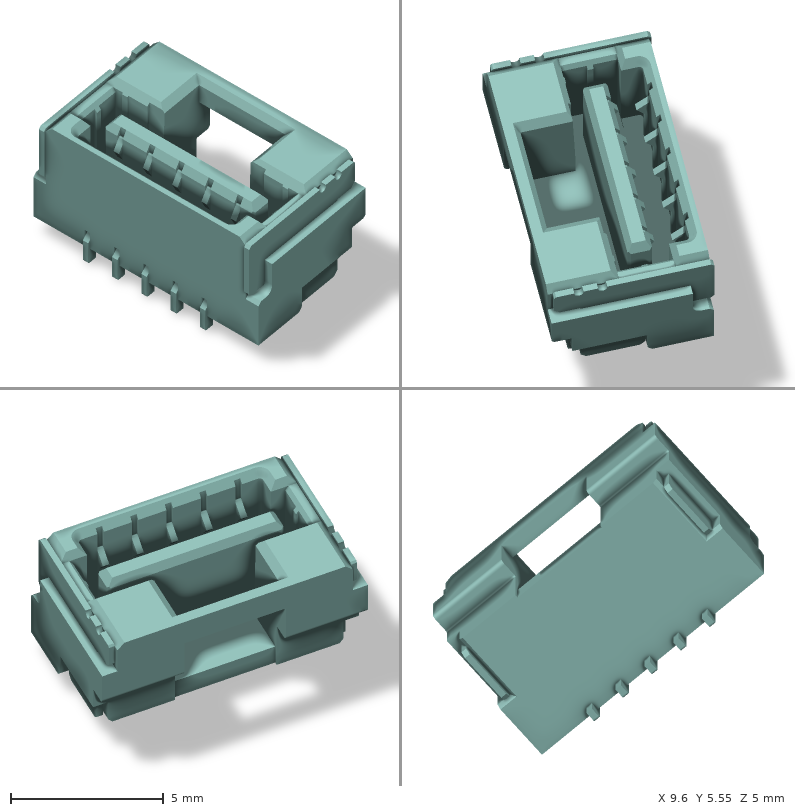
import cadquery as cq


WIDTH = 9.6
DEPTH = 5.45
HEIGHT = 4.4
LOWER_DEPTH = 4.75
OVERHANG_Z = 1.86
OVERHANG_RADIUS = 0.16
OVERHANG_CORNER_RADIUS = 0.07
SHROUD_HALF = 4.25
SHROUD_CHAMFER = 0.26
SHROUD_DROP = 0.25
RIM_DROP = 0.28
RIM_Z = HEIGHT - RIM_DROP

LEDGE_Z = 3.15
LEDGE_FRONT_Y = 0.7
LEDGE_STEP_Z = 1.89
LEDGE_STEP_RADIUS = 0.32
LEDGE_CHAMFER = 0.13

FLOOR_Z = 0.86
SIDE_FLOOR_Z = 0.77
SIDE_FLOOR_HALF = 2.99
FRONT_PAD_Y = 1.15
FRONT_PAD_RUN = 0.19
REAR_PAD_Y = 3.04
REAR_PAD_RUN = 0.23
FRONT_WALL = 0.44
FRONT_CAVITY_HALF = 3.32
FRONT_CAVITY_RADIUS = 0.13
FRONT_CAVITY_RUN = 0.25
SIDE_CAVITY_HALF = 3.84
SIDE_CAVITY_RUN = 0.12
SIDE_CAVITY_DROP = 0.15

WINDOW_HALF = 1.83
WINDOW_RUN = 0.27
WINDOW_DROP = 0.25
BAR_FRONT_Y = 4.9
BAR_RUN = 0.19
BAR_BOTTOM_Z = 3.38
WINDOW_FLOOR_DEPTH = 4.64
JAMB_RELIEF_HALF = 2.49
JAMB_RELIEF = 0.11
JAMB_RELIEF_BOTTOM_Z = 1.44

SIDE_RIB_Y = (1.98, 2.18)
SIDE_RIB_HEIGHT = 0.1
PAD_RIB_X = (3.3, 3.53)
PAD_RIB_HEIGHT = 0.04

TONGUE_HALF = 3.2
TONGUE_Y = (1.66, 2.5)
TONGUE_Z = 4.0
TONGUE_RUN_X = 0.24
TONGUE_RUN_Y = 0.18
TONGUE_DROP = 0.28
TONGUE_CORNER = 0.1

CONTACT_COUNT = 5
PITCH = 1.25
CONTACT_WIDTH = 0.23
TAIL_BOTTOM_Z = -0.6
TAIL_FRONT_Y = -0.1
TAIL_REAR_Y = 0.3
TAIL_RADIUS = 0.08
TAIL_SHOULDER_Z = 0.32
TAIL_TOP_Y = 0.13
TAIL_TOP_Z = 0.53
TAIL_SLOT_Z = 0.71
TAIL_SLOT_DEPTH = TAIL_SLOT_Z - TAIL_TOP_Z
GROOVE_Y = 0.31
FRONT_TIP_Z = 3.44
FRONT_NOSE_Y = 0.86
FRONT_NOSE_Z = 2.98
FRONT_ARM_REAR_Y = 0.58
REAR_TIP_Y = TONGUE_Y[0] + TONGUE_RUN_Y
REAR_TIP_Z = 3.79
REAR_NOSE_Y = 1.47
REAR_NOSE_Z = 3.19
NOSE_UNDERCUT = 0.38
TIP_RADIUS = 0.06

TAB_X = (4.27, 4.48)
TAB_TOP_Z = 4.27
TAB_FRONT_Y = -0.1
TAB_REAR_Y = 5.29
TAB_FRONT_BOTTOM_Z = 2.06
TAB_REAR_BOTTOM_Z = 3.21
TAB_CORNER = 0.11
TAB_REAR_TOP_CORNER = 0.07
TAB_REAR_BOTTOM_CORNER = 0.19
STEM_Y = (2.22, 4.4)
STEM_BOTTOM_Z = -0.13
STEM_CORNER = 0.18
NOTCH_Y = (4.45, 3.66)
NOTCH_RADIUS = 0.15
NOTCH_Z = 4.22

RECESS_Z = 1.0
RECESS_FLARE = 0.14
RECESS_FLARE_Z = 0.17

OVER = 0.1


def box(x_range, y_range, z_range):
    """Box spanning the three given ranges."""
    (x0, x1), (y0, y1), (z0, z1) = x_range, y_range, z_range
    return cq.Workplane("XY").box(x1 - x0, y1 - y0, z1 - z0, centered=False).translate((x0, y0, z0))


def across(profile, x_range):
    """Extrude a closed YZ profile over a range of x."""
    x0, x1 = x_range
    return profile.extrude(x1 - x0).translate((x0, 0, 0))


def yz(points):
    """Closed YZ polygon, ready to extrude."""
    return cq.Workplane("YZ").polyline(points).close()


def along(points, y_range):
    """Extrude an XZ polygon over a range of y."""
    y0, y1 = y_range
    return cq.Workplane("XZ").polyline(points).close().extrude(y0 - y1).translate((0, y0, 0))


def both_sides(shape):
    """The shape together with its mirror image in x = 0."""
    return shape.union(shape.mirror("YZ"))


def symmetric(right_points):
    """Close an XZ outline by mirroring its right half in x = 0."""
    return right_points + [(-x, z) for x, z in reversed(right_points)]


def make_housing():
    """Solid outer body: the shroud and both side ledges."""
    side_profile = yz([(0, 0), (LOWER_DEPTH, 0), (LOWER_DEPTH, OVERHANG_Z), (DEPTH, OVERHANG_Z),
                       (DEPTH, HEIGHT), (0, HEIGHT)])
    block = across(side_profile, (-WIDTH / 2, WIDTH / 2))
    outer_corner = cq.NearestToPointSelector((0, DEPTH, OVERHANG_Z))
    block = block.edges(outer_corner).fillet(OVERHANG_RADIUS)
    inner_corner = cq.NearestToPointSelector((0, LOWER_DEPTH, OVERHANG_Z))
    block = block.edges(inner_corner).fillet(OVERHANG_CORNER_RADIUS)

    shroud_outline = symmetric([
        (SHROUD_HALF, 0),
        (SHROUD_HALF, HEIGHT - SHROUD_DROP),
        (SHROUD_HALF - SHROUD_CHAMFER, HEIGHT),
    ])
    shroud = along(shroud_outline, (0, DEPTH))

    step_end_y = LEDGE_FRONT_Y - LEDGE_STEP_RADIUS
    ledge_profile = (
        cq.Workplane("YZ")
        .moveTo(0, 0)
        .lineTo(DEPTH, 0)
        .lineTo(DEPTH, LEDGE_Z)
        .lineTo(LEDGE_FRONT_Y, LEDGE_Z)
        .lineTo(LEDGE_FRONT_Y, LEDGE_STEP_Z + LEDGE_STEP_RADIUS)
        .radiusArc((step_end_y, LEDGE_STEP_Z), LEDGE_STEP_RADIUS)
        .lineTo(LEDGE_CHAMFER, LEDGE_STEP_Z)
        .lineTo(0, LEDGE_STEP_Z - LEDGE_CHAMFER)
        .close()
    )
    ledges = across(ledge_profile, (-WIDTH / 2, WIDTH / 2))
    return block.intersect(shroud.union(ledges))


def rim_notch():
    """Gap in the top rim between the front and rear pads."""
    points = [(FRONT_PAD_Y, RIM_Z), (REAR_PAD_Y, RIM_Z),
              (REAR_PAD_Y + REAR_PAD_RUN, HEIGHT), (FRONT_PAD_Y - FRONT_PAD_RUN, HEIGHT)]
    return across(yz(points), (-WIDTH / 2, WIDTH / 2))


def front_cavity():
    """Pocket behind the front wall, flared at the rim."""
    rear_y = TONGUE_Y[0]
    centre_y = (FRONT_WALL + rear_y) / 2
    width = 2 * FRONT_CAVITY_HALF
    length = rear_y - FRONT_WALL

    def rounded(grow, z):
        return (
            cq.Sketch()
            .rect(width + 2 * grow, length + 2 * grow)
            .vertices()
            .fillet(FRONT_CAVITY_RADIUS + grow)
            .moved(cq.Location(cq.Vector(0, centre_y, z)))
        )

    flare = cq.Workplane("XY").placeSketch(rounded(0, RIM_Z), rounded(FRONT_CAVITY_RUN, HEIGHT)).loft()
    straight = cq.Workplane("XY").placeSketch(rounded(0, FLOOR_Z)).extrude(RIM_Z - FLOOR_Z)
    return straight.union(flare)


def side_cavity():
    """Full-width pocket between the pads, less the guide ribs and the raised middle floor."""
    outline = symmetric([
        (SIDE_CAVITY_HALF, SIDE_FLOOR_Z),
        (SIDE_CAVITY_HALF, RIM_Z - SIDE_CAVITY_DROP),
        (SIDE_CAVITY_HALF + SIDE_CAVITY_RUN, RIM_Z),
    ])
    pocket = along(outline, (FRONT_PAD_Y, REAR_PAD_Y))
    side_rib_face = SIDE_CAVITY_HALF - SIDE_RIB_HEIGHT
    side_rib_drop = SIDE_CAVITY_DROP * (SIDE_RIB_HEIGHT + SIDE_CAVITY_RUN) / SIDE_CAVITY_RUN
    side_rib = along(
        [(side_rib_face, 0), (side_rib_face, RIM_Z - side_rib_drop),
         (SIDE_CAVITY_HALF + SIDE_CAVITY_RUN, RIM_Z), (SIDE_CAVITY_HALF + SIDE_CAVITY_RUN, 0)],
        SIDE_RIB_Y,
    )
    pad_rib_face = REAR_PAD_Y - PAD_RIB_HEIGHT
    pad_rib_drop = PAD_RIB_HEIGHT * RIM_DROP / REAR_PAD_RUN
    pad_rib = across(
        yz([(REAR_PAD_Y, 0), (pad_rib_face, 0), (pad_rib_face, RIM_Z - pad_rib_drop), (REAR_PAD_Y, RIM_Z)]),
        PAD_RIB_X,
    )
    raised_floor = box((-SIDE_FLOOR_HALF, SIDE_FLOOR_HALF), (FRONT_PAD_Y, TONGUE_Y[0]), (0, FLOOR_Z))
    return pocket.cut(both_sides(side_rib.union(pad_rib))).cut(raised_floor)


def rear_window():
    """Opening between the rear pads, running out to the rear under the bar."""
    flare_x = symmetric([
        (WINDOW_HALF, SIDE_FLOOR_Z),
        (WINDOW_HALF, HEIGHT - WINDOW_DROP),
        (WINDOW_HALF + WINDOW_RUN, HEIGHT),
    ])
    flare_y = [(REAR_PAD_Y, SIDE_FLOOR_Z), (BAR_FRONT_Y, SIDE_FLOOR_Z), (BAR_FRONT_Y, HEIGHT - WINDOW_DROP),
               (BAR_FRONT_Y + BAR_RUN, HEIGHT), (REAR_PAD_Y, HEIGHT)]
    window = along(flare_x, (REAR_PAD_Y, DEPTH)).intersect(across(yz(flare_y), (-WIDTH / 2, WIDTH / 2)))
    span = (-WINDOW_HALF, WINDOW_HALF)
    under_bar = box(span, (WINDOW_FLOOR_DEPTH, DEPTH + OVER), (-OVER, BAR_BOTTOM_Z))
    relief_y = REAR_PAD_Y + JAMB_RELIEF
    relief = across(
        yz([(REAR_PAD_Y, JAMB_RELIEF_BOTTOM_Z), (relief_y, HEIGHT), (REAR_PAD_Y, HEIGHT)]),
        (WINDOW_HALF, JAMB_RELIEF_HALF),
    )
    return window.union(under_bar).union(both_sides(relief))


def stem_recess():
    """Recess in the right ledge around the tab stem, flared at the underside."""
    front_y = STEM_Y[0]
    flare_y = [(front_y - RECESS_FLARE, 0), (front_y, RECESS_FLARE_Z), (front_y, RECESS_Z),
               (DEPTH, RECESS_Z), (DEPTH, 0)]
    flare_x = [(SHROUD_HALF - RECESS_FLARE, 0), (SHROUD_HALF, RECESS_FLARE_Z), (SHROUD_HALF, RECESS_Z),
               (WIDTH / 2 + OVER, RECESS_Z), (WIDTH / 2 + OVER, 0)]
    return across(yz(flare_y), (0, WIDTH)).intersect(along(flare_x, (0, DEPTH)))


def make_tongue():
    """Tongue rising from the floor, with a chamfered top and bevelled upright corners."""
    outline_x = symmetric([
        (TONGUE_HALF, 0),
        (TONGUE_HALF, TONGUE_Z - TONGUE_DROP),
        (TONGUE_HALF - TONGUE_RUN_X, TONGUE_Z),
    ])
    front_y, rear_y = TONGUE_Y
    outline_y = [(front_y, 0), (rear_y, 0), (rear_y, TONGUE_Z - TONGUE_DROP),
                 (rear_y - TONGUE_RUN_Y, TONGUE_Z), (front_y + TONGUE_RUN_Y, TONGUE_Z),
                 (front_y, TONGUE_Z - TONGUE_DROP)]
    span = (-TONGUE_HALF, TONGUE_HALF)
    block = box(span, TONGUE_Y, (0, TONGUE_Z)).edges("|Z").chamfer(TONGUE_CORNER)
    return block.intersect(along(outline_x, TONGUE_Y)).intersect(across(yz(outline_y), span))


def contact_slots(x_range):
    """Clearances for one contact: tail slot, groove in the front wall and slot in the tongue."""
    tail_slot = across(
        yz([(0, 0), (0, TAIL_SLOT_Z), (TAIL_SLOT_DEPTH, TAIL_TOP_Z), (TAIL_SLOT_DEPTH, 0)]),
        x_range,
    )
    groove = box(x_range, (GROOVE_Y, FRONT_WALL), (FLOOR_Z, HEIGHT))
    tongue_slot = box(x_range, (TONGUE_Y[0], REAR_TIP_Y), (FLOOR_Z, TONGUE_Z))
    return tail_slot.union(groove).union(tongue_slot)


def make_contact(x_range):
    """One contact: tail, front arm and rear arm, joined to the floor."""
    tail = [(TAIL_FRONT_Y, TAIL_BOTTOM_Z), (TAIL_REAR_Y, TAIL_BOTTOM_Z), (TAIL_REAR_Y, TAIL_TOP_Z),
            (TAIL_TOP_Y, TAIL_TOP_Z), (TAIL_FRONT_Y, TAIL_SHOULDER_Z)]
    front_arm = [(GROOVE_Y, 0), (FRONT_ARM_REAR_Y, 0), (FRONT_ARM_REAR_Y, FRONT_NOSE_Z - NOSE_UNDERCUT),
                 (FRONT_NOSE_Y, FRONT_NOSE_Z), (GROOVE_Y, FRONT_TIP_Z)]
    rear_arm = [(REAR_TIP_Y, 0), (TONGUE_Y[0], 0), (TONGUE_Y[0], REAR_NOSE_Z - NOSE_UNDERCUT),
                (REAR_NOSE_Y, REAR_NOSE_Z), (REAR_TIP_Y, REAR_TIP_Z)]
    contact = across(yz(tail), x_range).edges("<Y and <Z").fillet(TAIL_RADIUS)
    for arm in (front_arm, rear_arm):
        contact = contact.union(across(yz(arm), x_range).edges(">Z").fillet(TIP_RADIUS))
    return contact


def make_tab():
    """Right side tab with its stem and two notches in the top edge."""
    stem_front, stem_rear = STEM_Y
    profile = [
        (TAB_FRONT_Y + TAB_CORNER, TAB_TOP_Z),
        (TAB_FRONT_Y, TAB_TOP_Z - TAB_CORNER),
        (TAB_FRONT_Y, TAB_FRONT_BOTTOM_Z + TAB_CORNER),
        (TAB_FRONT_Y + TAB_CORNER, TAB_FRONT_BOTTOM_Z),
        (stem_front, TAB_FRONT_BOTTOM_Z),
        (stem_front, STEM_BOTTOM_Z + STEM_CORNER),
        (stem_front + STEM_CORNER, STEM_BOTTOM_Z),
        (stem_rear - STEM_CORNER, STEM_BOTTOM_Z),
        (stem_rear, STEM_BOTTOM_Z + STEM_CORNER),
        (stem_rear, TAB_REAR_BOTTOM_Z),
        (TAB_REAR_Y - TAB_REAR_BOTTOM_CORNER, TAB_REAR_BOTTOM_Z),
        (TAB_REAR_Y, TAB_REAR_BOTTOM_Z + TAB_REAR_BOTTOM_CORNER),
        (TAB_REAR_Y, TAB_TOP_Z - TAB_REAR_TOP_CORNER),
        (TAB_REAR_Y - TAB_REAR_TOP_CORNER, TAB_TOP_Z),
    ]
    tab = across(yz(profile), TAB_X)
    for notch_y in NOTCH_Y:
        tab = tab.cut(across(cq.Workplane("YZ").center(notch_y, NOTCH_Z).circle(NOTCH_RADIUS), TAB_X))
        mouth = (notch_y - NOTCH_RADIUS, notch_y + NOTCH_RADIUS)
        tab = tab.cut(box(TAB_X, mouth, (NOTCH_Z, TAB_TOP_Z)))
    return tab


housing = make_housing()
for cutter in (rim_notch(), front_cavity(), side_cavity(), rear_window(), both_sides(stem_recess())):
    housing = housing.cut(cutter)

result = housing.union(make_tongue())
for index in range(CONTACT_COUNT):
    centre_x = (index - (CONTACT_COUNT - 1) / 2) * PITCH
    contact_span = (centre_x - CONTACT_WIDTH / 2, centre_x + CONTACT_WIDTH / 2)
    result = result.cut(contact_slots(contact_span)).union(make_contact(contact_span))

result = result.union(both_sides(make_tab()))